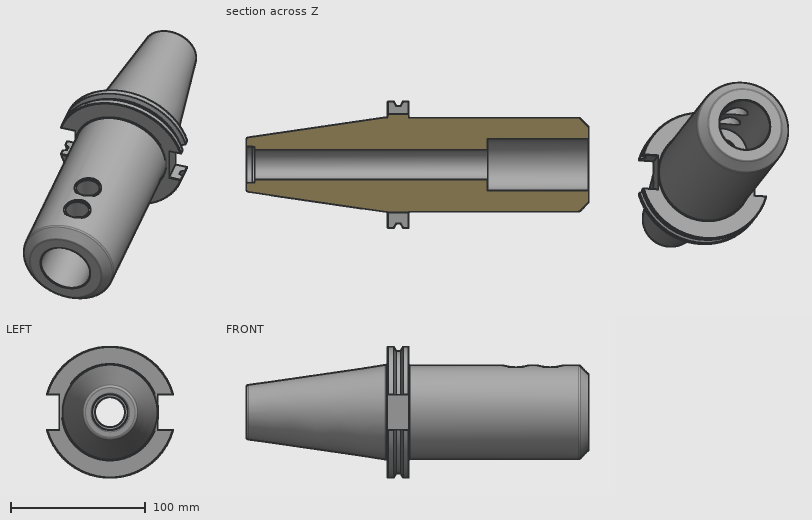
import cadquery as cq
import math

TOTAL_LENGTH = 254.02

GAUGE_DIAMETER = 69.85
GAUGE_LENGTH = 101.6
TAPER_RATIO = 7 / 24
SMALL_END_DIAMETER = GAUGE_DIAMETER - GAUGE_LENGTH * TAPER_RATIO
SMALL_END_ROUND = 2.0
COLLAR_DIAMETER = 70.2
TAPER_LENGTH = (COLLAR_DIAMETER - SMALL_END_DIAMETER) / TAPER_RATIO

FLANGE_DIAMETER = 97.5
FLANGE_START = GAUGE_LENGTH + 3.18
FLANGE_END = GAUGE_LENGTH + 19.05
FLANGE_CHAMFER = 0.5
COLLAR_ROOT_FILLET = 0.8
BODY_ROOT_FILLET = 0.6
GROOVE_CENTER = GAUGE_LENGTH + 11.25
GROOVE_FLOOR_DIAMETER = 91.0
GROOVE_FLOOR_WIDTH = 3.2
GROOVE_WALL_ANGLE = 30.0

SLOT_WIDTH = 25.7
SLOT_EDGE_CHAMFER = 0.5
SLOT_FLOOR_FRONT = 35.5
SLOT_FLOOR_BACK = 37.7

BODY_DIAMETER = 69.85
NOSE_CHAMFER = 7.0
NOSE_SHOULDER_ROUND = 2.0
NOSE_TIP_ROUND = 1.0

DRAWBAR_DIAMETER = 21.97
RECESS_DIAMETER = 26.7
RECESS_MOUTH_ROUND = 1.0
RECESS_STEP_DEPTH = 4.7
RECESS_FLOOR_DIAMETER = 26.2
RECESS_DEPTH = 6.4
TOOL_BORE_DIAMETER = 38.1
TOOL_BORE_DEPTH = 75.0
TOOL_BORE_MOUTH_DIAMETER = 39.1

SCREW_COUNT = 2
SCREW_DIAMETER = 17.32
SCREW_SEAT_DIAMETER = 20.0
SCREW_SPACING = 25.4
LAST_SCREW_X = TOTAL_LENGTH - 28.7


def revolve_about_x(outline):
    return outline.close().revolve(360, (0, 0, 0), (1, 0, 0))


def make_turned_blank():
    collar = COLLAR_DIAMETER / 2
    body = BODY_DIAMETER / 2
    rim = FLANGE_DIAMETER / 2
    groove_floor = GROOVE_FLOOR_DIAMETER / 2
    half_floor = GROOVE_FLOOR_WIDTH / 2
    half_mouth = half_floor + (rim - groove_floor) * math.tan(math.radians(GROOVE_WALL_ANGLE))
    outline = (
        cq.Workplane("XY")
        .lineTo(0, SMALL_END_DIAMETER / 2)
        .lineTo(TAPER_LENGTH, collar)
        .lineTo(FLANGE_START - COLLAR_ROOT_FILLET, collar)
        .radiusArc((FLANGE_START, collar + COLLAR_ROOT_FILLET), -COLLAR_ROOT_FILLET)
        .lineTo(FLANGE_START, rim - FLANGE_CHAMFER)
        .lineTo(FLANGE_START + FLANGE_CHAMFER, rim)
        .lineTo(GROOVE_CENTER - half_mouth, rim)
        .lineTo(GROOVE_CENTER - half_floor, groove_floor)
        .lineTo(GROOVE_CENTER + half_floor, groove_floor)
        .lineTo(GROOVE_CENTER + half_mouth, rim)
        .lineTo(FLANGE_END - FLANGE_CHAMFER, rim)
        .lineTo(FLANGE_END, rim - FLANGE_CHAMFER)
        .lineTo(FLANGE_END, body + BODY_ROOT_FILLET)
        .radiusArc((FLANGE_END + BODY_ROOT_FILLET, body), -BODY_ROOT_FILLET)
        .lineTo(TOTAL_LENGTH - NOSE_CHAMFER, body)
        .lineTo(TOTAL_LENGTH, body - NOSE_CHAMFER)
        .lineTo(TOTAL_LENGTH, 0)
    )
    blank = revolve_about_x(outline)
    blank = blank.faces("<X").edges().fillet(SMALL_END_ROUND)
    blank = blank.faces(">X").edges().fillet(NOSE_TIP_ROUND)
    shoulder_point = (TOTAL_LENGTH - NOSE_CHAMFER, 0, 0)
    shoulder = cq.selectors.NearestToPointSelector(shoulder_point)
    return blank.edges("%CIRCLE").edges(shoulder).fillet(NOSE_SHOULDER_ROUND)


def make_drive_slot(side, floor_distance):
    """Cutter for the slot on the given Y side, flared at the flange faces and at the rim."""
    half_width = SLOT_WIDTH / 2
    half_flared = half_width + SLOT_EDGE_CHAMFER
    inner_start = FLANGE_START + SLOT_EDGE_CHAMFER
    inner_end = FLANGE_END - SLOT_EDGE_CHAMFER
    plan = [
        (FLANGE_START, half_flared),
        (inner_start, half_width),
        (inner_end, half_width),
        (FLANGE_END, half_flared),
        (FLANGE_END, -half_flared),
        (inner_end, -half_width),
        (inner_start, -half_width),
        (FLANGE_START, -half_flared),
    ]
    slot = (
        cq.Workplane("XZ")
        .workplane(offset=-side * floor_distance)
        .polyline(plan)
        .close()
        .extrude(-side * (FLANGE_DIAMETER / 2 - floor_distance))
    )
    rim_y = math.sqrt((FLANGE_DIAMETER / 2) ** 2 - half_width ** 2)
    flare_bottom = side * (rim_y - SLOT_EDGE_CHAMFER)
    flare_top = side * rim_y
    rim_flare = (
        cq.Workplane("YZ", origin=(FLANGE_START, 0, 0))
        .polyline([
            (flare_bottom, half_width),
            (flare_top, half_flared),
            (flare_top, -half_flared),
            (flare_bottom, -half_width),
        ])
        .close()
        .extrude(FLANGE_END - FLANGE_START)
    )
    return slot.union(rim_flare)


def make_axial_bores():
    recess = RECESS_DIAMETER / 2
    tool_bore = TOOL_BORE_DIAMETER / 2
    tool_bore_mouth = TOOL_BORE_MOUTH_DIAMETER / 2
    tool_bore_start = TOTAL_LENGTH - TOOL_BORE_DEPTH
    outline = (
        cq.Workplane("XY")
        .lineTo(0, recess + RECESS_MOUTH_ROUND)
        .radiusArc((RECESS_MOUTH_ROUND, recess), -RECESS_MOUTH_ROUND)
        .lineTo(RECESS_STEP_DEPTH, recess)
        .lineTo(RECESS_STEP_DEPTH, RECESS_FLOOR_DIAMETER / 2)
        .lineTo(RECESS_DEPTH, RECESS_FLOOR_DIAMETER / 2)
        .lineTo(RECESS_DEPTH, DRAWBAR_DIAMETER / 2)
        .lineTo(tool_bore_start, DRAWBAR_DIAMETER / 2)
        .lineTo(tool_bore_start, tool_bore)
        .lineTo(TOTAL_LENGTH - (tool_bore_mouth - tool_bore), tool_bore)
        .lineTo(TOTAL_LENGTH, tool_bore_mouth)
        .lineTo(TOTAL_LENGTH, 0)
    )
    return revolve_about_x(outline)


def make_screw_hole(x):
    """Cutter for one screw hole with a flat seat as deep as its circle needs to clear the body."""
    seat_radius = SCREW_SEAT_DIAMETER / 2
    body_radius = BODY_DIAMETER / 2
    seat_z = math.sqrt(body_radius ** 2 - seat_radius ** 2)
    drill = cq.Workplane("XY", origin=(x, 0, 0)).circle(SCREW_DIAMETER / 2).extrude(body_radius)
    seat = cq.Workplane("XY", origin=(x, 0, seat_z)).circle(seat_radius).extrude(body_radius - seat_z)
    return drill.union(seat)


result = make_turned_blank()
result = result.cut(make_drive_slot(-1, SLOT_FLOOR_FRONT))
result = result.cut(make_drive_slot(1, SLOT_FLOOR_BACK))
result = result.cut(make_axial_bores())
for index in range(SCREW_COUNT):
    result = result.cut(make_screw_hole(LAST_SCREW_X - index * SCREW_SPACING))